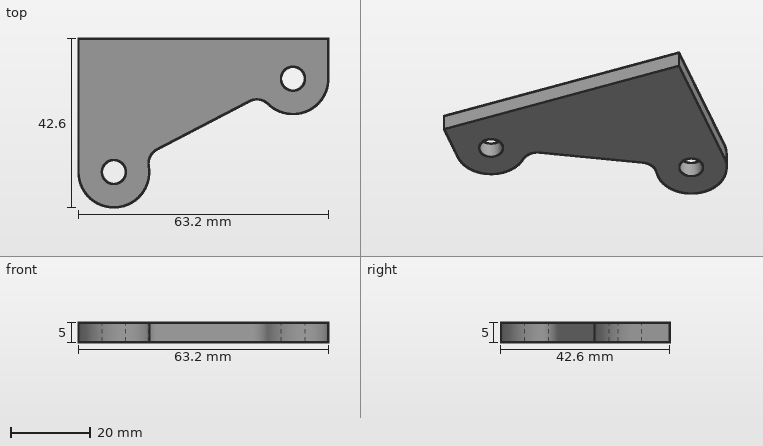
import cadquery as cq
import math

length = 63.2
width = 42.65
thickness = 5.0

lug_radius = 9.0
hole_diameter = 6.0
right_lug_drop = 10.1
fillet_radius = 4.0

left_center = (lug_radius, lug_radius)
right_center = (length - lug_radius, width - right_lug_drop)
lug_centers = [left_center, right_center]

plate = (
    cq.Workplane("XY")
    .polyline([
        (0, left_center[1]),
        left_center,
        right_center,
        (length, right_center[1]),
        (length, width),
        (0, width),
    ])
    .close()
    .extrude(thickness)
)

lugs = cq.Workplane("XY").pushPoints(lug_centers).circle(lug_radius).extrude(thickness)
plate = plate.union(lugs)

run = right_center[0] - left_center[0]
rise = right_center[1] - left_center[1]
span = math.hypot(run, rise)
step_x = lug_radius * run / span
step_y = lug_radius * rise / span
corners = [
    (left_center[0] + step_x, left_center[1] + step_y),
    (right_center[0] - step_x, right_center[1] - step_y),
]
for x, y in corners:
    corner_edge = cq.selectors.NearestToPointSelector((x, y, thickness / 2))
    plate = plate.edges("|Z").edges(corner_edge).fillet(fillet_radius)

holes = cq.Workplane("XY").pushPoints(lug_centers).circle(hole_diameter / 2).extrude(thickness)
result = plate.cut(holes)